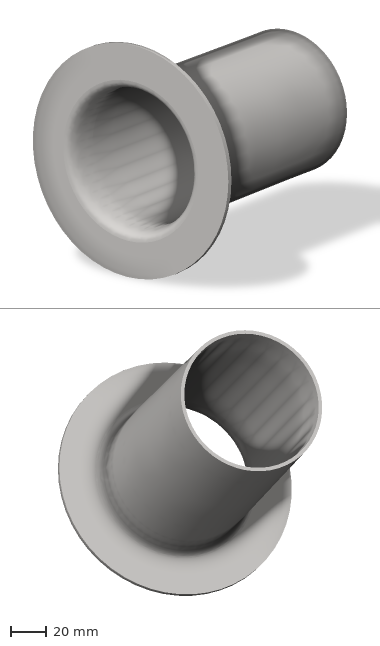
import cadquery as cq

length = 150.0
flange_radius = 69.0
flange_thickness = 3.0

tube_end_radius = 42.0
tube_base_radius = 43.0
wall = 2.1

flare_length = 19.2
mouth_radius = 47.5
flare_fullness = 0.75

half_length = length / 2
front_y = -half_length
flange_back_y = front_y + flange_thickness
flare_top_y = front_y + flare_length
taper_slope = (tube_base_radius - tube_end_radius) / (length - flare_length)


def flare_curve(tube_radius, face_y):
    """Bezier points from the tube wall, tangent to its taper, to a flat flange face."""
    handle = flare_fullness * (flare_top_y - face_y)
    spread = flare_fullness * (mouth_radius - tube_radius)
    return [
        (tube_radius, flare_top_y),
        (tube_radius + taper_slope * handle, flare_top_y - handle),
        (mouth_radius - spread, face_y),
        (mouth_radius, face_y),
    ]


outer_flare = flare_curve(tube_base_radius, flange_back_y)
inner_flare = flare_curve(tube_base_radius - wall, front_y)

section = (
    cq.Workplane("XY")
    .moveTo(tube_end_radius - wall, half_length)
    .lineTo(tube_end_radius, half_length)
    .lineTo(tube_base_radius, flare_top_y)
    .bezier(outer_flare)
    .lineTo(flange_radius, flange_back_y)
    .lineTo(flange_radius, front_y)
    .lineTo(mouth_radius, front_y)
    .bezier(inner_flare[::-1])
    .close()
)

result = section.revolve(360, (0, 0, 0), (0, 1, 0))